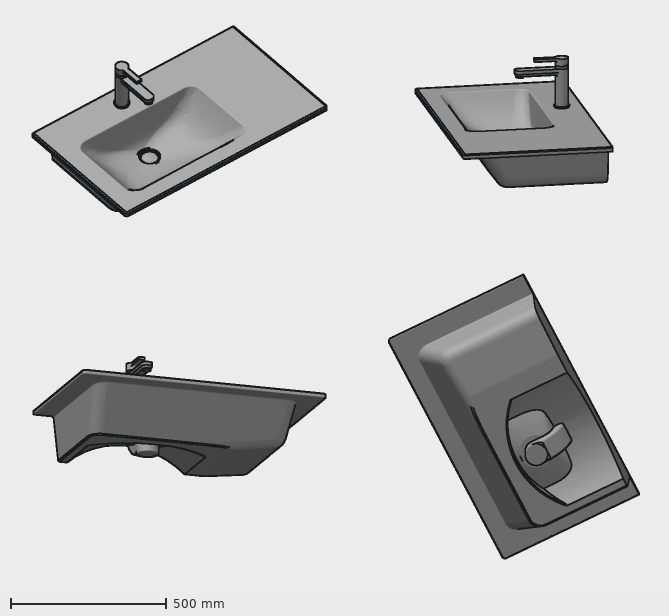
import cadquery as cq
import math


EDGE_MARGIN = 1.0

TOP_DEPTH = 489.5
TOP_LENGTH = 830.0
TOP_THICKNESS = 16.0
TOP_CORNER_RADIUS = 10.0
TOP_BEVEL_WIDTH = 6.0
TOP_BEVEL_HEIGHT = 3.0
TOP_UNDER_ROUND = 2.5

APRON_BOTTOM = -166.0
APRON_FRONT_UPPER = 428.0
APRON_FRONT_LOWER = 333.5
APRON_RIGHT_UPPER = 68.0
APRON_RIGHT_LOWER = 85.0
APRON_LEFT_UPPER = 759.0
APRON_LEFT_LOWER = 744.0
APRON_LEFT_BOTTOM = -144.0
APRON_RISE_START = 584.0
APRON_LEFT_ROUND = 41.5
APRON_CORNER_ROUND = 41.5
APRON_BOTTOM_BEVEL = 4.0
APRON_NECK_ROUND = 5.0

DRAIN_X = 212.5
CENTRE_Y = 315.0

BOWL_BACK = 134.5
BOWL_FRONT = 427.0
BOWL_HALF_LENGTH = 241.5
BOWL_DEPTH = 126.0
BOWL_SECTIONS = [
    (0.0, BOWL_BACK, BOWL_FRONT, BOWL_HALF_LENGTH, 37.0),
    (37.0, 139.0, 397.0, 212.5, 41.5),
    (69.0, 143.5, 372.0, 181.0, 50.0),
    (98.0, 149.0, 325.0, 137.0, 54.0),
    (BOWL_DEPTH, 173.0, 252.0, 40.0, 37.0),
]
BOWL_RIM_ROUND = 4.0
BOWL_WALL = 14.0

DRAIN_RADIUS = 32.0
DRAIN_RECESS_DEPTH = 10.0
DRAIN_FLOOR = -BOWL_DEPTH - DRAIN_RECESS_DEPTH
DRAIN_LIP = 2.5
OUTLET_RADIUS = 36.5
OUTLET_BOTTOM = -177.5
OUTLET_ROUND = 2.5

ARCH_TOP = -90.0
ARCH_HALF_WIDTH = 201.0
RECESS_DEPTH = 282.0
RECESS_SIDE_DEPTH = 199.0

CHANNEL_BACK = 99.5
CHANNEL_MID_X = 126.0
CHANNEL_MID_Z = -143.0
CHANNEL_END_Z = -174.0
CHANNEL_ROUND = 10.0

PLUG_RADIUS = 29.0
PLUG_EDGE_HEIGHT = 5.0
PLUG_DOME_HEIGHT = 5.0

TAP_X = 68.0
TAP_RADIUS = 21.5
FLANGE_RADIUS = 26.0
FLANGE_HEIGHT = 6.0
FLANGE_FOOT_RADIUS = 23.0
TAP_HEIGHT = 165.0
SEAM_BOTTOM = 131.0
SEAM_TOP = 140.0
SEAM_RADIUS = 21.0
TILT_GAP_HEIGHT = 5.0
SCREW_HEIGHT = 148.0
SCREW_RADIUS = 2.5
SCREW_DEPTH = 2.5

SPOUT_END = 222.0
SPOUT_WIDTH = 35.0
SPOUT_TOP = SEAM_BOTTOM
SPOUT_SIDE_BOTTOM = 119.5
SPOUT_BOTTOM = 110.0
SPOUT_END_ROUND = 16.0
SPOUT_UNDER_BEVEL = 4.0
SPOUT_ROOT_ROUND = 5.0
AERATOR_X = 207.0
AERATOR_RADIUS = 12.5
AERATOR_DROP = 4.0
AERATOR_TILT = -6.0

LEVER_END = 158.0
LEVER_WIDTH = 20.0
LEVER_THICKNESS = 9.0
LEVER_ROOT_ROUND = 4.0


def edges_in_box(solid, low, high):
    """Edges of the solid whose centres lie between two opposite corners of a box."""
    return solid.edges(cq.selectors.BoxSelector(low, high))


def countertop():
    """Slab bevelled and rounded on three sides; the side along the wall is a plain cut."""
    length_behind_wall = TOP_THICKNESS
    side_height = TOP_THICKNESS - TOP_BEVEL_HEIGHT
    bevel_angle = math.degrees(math.atan2(TOP_BEVEL_WIDTH, TOP_BEVEL_HEIGHT))
    slab = (
        cq.Workplane("XY", origin=(-length_behind_wall, 0, -TOP_THICKNESS))
        .rect(TOP_DEPTH + length_behind_wall, TOP_LENGTH, centered=False)
        .extrude(side_height)
        .edges("|Z")
        .fillet(TOP_CORNER_RADIUS)
    )
    bevel = slab.faces(">Z").wires().toPending().workplane().extrude(
        TOP_BEVEL_HEIGHT, combine=False, taper=bevel_angle
    )
    slab = slab.union(bevel).faces("<Z").edges().fillet(TOP_UNDER_ROUND)
    behind_wall = (
        cq.Workplane("XY", origin=(-length_behind_wall, 0, -TOP_THICKNESS))
        .rect(length_behind_wall, TOP_LENGTH, centered=False)
        .extrude(TOP_THICKNESS)
    )
    return slab.cut(behind_wall)


def apron():
    lower_left_corner = (TOP_DEPTH / 2, APRON_LEFT_LOWER, APRON_LEFT_BOTTOM)
    end_profile = (
        cq.Workplane("YZ")
        .moveTo(APRON_RIGHT_UPPER, -TOP_THICKNESS)
        .lineTo(APRON_RIGHT_LOWER, APRON_BOTTOM)
        .lineTo(APRON_RISE_START, APRON_BOTTOM)
        .lineTo(APRON_LEFT_LOWER, APRON_LEFT_BOTTOM)
        .lineTo(APRON_LEFT_UPPER, -TOP_THICKNESS)
        .close()
        .extrude(TOP_DEPTH)
        .edges(cq.selectors.NearestToPointSelector(lower_left_corner))
        .fillet(APRON_LEFT_ROUND)
    )
    side_profile = (
        cq.Workplane("XZ")
        .moveTo(0, -TOP_THICKNESS)
        .lineTo(0, APRON_BOTTOM)
        .lineTo(APRON_FRONT_LOWER, APRON_BOTTOM)
        .lineTo(APRON_FRONT_UPPER, -TOP_THICKNESS)
        .close()
        .extrude(-TOP_LENGTH)
    )
    block = end_profile.intersect(side_profile)
    front_corners = block.faces(">X").edges("not #Z").edges("not |Y")
    block = front_corners.fillet(APRON_CORNER_ROUND)
    return block.faces("<Z").edges("not <X").chamfer(APRON_BOTTOM_BEVEL)


def top_with_apron():
    block = apron().union(countertop())
    neck = edges_in_box(
        block,
        (EDGE_MARGIN, APRON_RIGHT_UPPER - EDGE_MARGIN, -TOP_THICKNESS - EDGE_MARGIN),
        (APRON_FRONT_UPPER + EDGE_MARGIN, APRON_LEFT_UPPER + EDGE_MARGIN, -TOP_THICKNESS + EDGE_MARGIN),
    )
    return neck.fillet(APRON_NECK_ROUND)


def bowl(growth):
    """Bowl-shaped solid, grown by the given amount at its sides and bottom."""
    sections = []
    for depth, back, front, half_length, radius in BOWL_SECTIONS:
        z = -depth - growth * depth / BOWL_DEPTH
        outline = (
            cq.Sketch()
            .rect(front - back + 2 * growth, 2 * (half_length + growth))
            .vertices()
            .fillet(radius + growth)
        )
        sections.append(outline.moved(cq.Location(cq.Vector((back + front) / 2, CENTRE_Y, z))))
    return cq.Workplane("XY").placeSketch(*sections).loft()


def arch_recess():
    """Arched tunnel from the wall face, ending in a wall that bows toward the front."""
    arch = (
        cq.Workplane("YZ")
        .moveTo(CENTRE_Y - ARCH_HALF_WIDTH, APRON_BOTTOM)
        .threePointArc((CENTRE_Y, ARCH_TOP), (CENTRE_Y + ARCH_HALF_WIDTH, APRON_BOTTOM))
        .close()
        .extrude(RECESS_DEPTH)
    )
    plan = (
        cq.Workplane("XY", origin=(0, 0, APRON_BOTTOM))
        .moveTo(0, CENTRE_Y - ARCH_HALF_WIDTH)
        .lineTo(RECESS_SIDE_DEPTH, CENTRE_Y - ARCH_HALF_WIDTH)
        .threePointArc((RECESS_DEPTH, CENTRE_Y), (RECESS_SIDE_DEPTH, CENTRE_Y + ARCH_HALF_WIDTH))
        .lineTo(0, CENTRE_Y + ARCH_HALF_WIDTH)
        .close()
        .extrude(ARCH_TOP - APRON_BOTTOM)
    )
    return arch.intersect(plan)


def outlet():
    """Drain boss with the overflow channel that curves down into it."""
    height = -BOWL_DEPTH - OUTLET_BOTTOM
    boss = (
        cq.Workplane("XY", origin=(DRAIN_X, CENTRE_Y, OUTLET_BOTTOM))
        .circle(OUTLET_RADIUS)
        .extrude(height)
        .faces("<Z")
        .edges()
        .fillet(OUTLET_ROUND)
    )
    channel = (
        cq.Workplane("XZ", origin=(0, CENTRE_Y - OUTLET_RADIUS, 0))
        .moveTo(CHANNEL_BACK, ARCH_TOP)
        .threePointArc((CHANNEL_MID_X, CHANNEL_MID_Z), (DRAIN_X - OUTLET_RADIUS, CHANNEL_END_Z))
        .lineTo(DRAIN_X, CHANNEL_END_Z)
        .lineTo(DRAIN_X, ARCH_TOP)
        .close()
        .extrude(-2 * OUTLET_RADIUS)
    )
    channel = channel.faces("<X").edges("not |Y").fillet(CHANNEL_ROUND)
    return boss.union(channel)


def drain_recess():
    """Round recess for the plug, with a countersunk lip on the bowl floor."""
    recess = cq.Workplane("XY", origin=(DRAIN_X, CENTRE_Y, DRAIN_FLOOR)).circle(DRAIN_RADIUS)
    recess = recess.extrude(DRAIN_RECESS_DEPTH)
    lip = (
        cq.Workplane("XZ", origin=(DRAIN_X, CENTRE_Y, -BOWL_DEPTH))
        .moveTo(0, -DRAIN_LIP)
        .lineTo(DRAIN_RADIUS, -DRAIN_LIP)
        .lineTo(DRAIN_RADIUS + 2 * DRAIN_LIP, DRAIN_LIP)
        .lineTo(0, DRAIN_LIP)
        .close()
        .revolve()
    )
    return recess.union(lip)


def make_basin():
    hollow = arch_recess().cut(bowl(BOWL_WALL))
    basin = top_with_apron().cut(hollow)
    basin = basin.faces("<Z").edges("%CIRCLE").chamfer(APRON_BOTTOM_BEVEL)
    basin = basin.union(outlet()).cut(bowl(0))
    rim = edges_in_box(
        basin,
        (BOWL_BACK - EDGE_MARGIN, CENTRE_Y - BOWL_HALF_LENGTH - EDGE_MARGIN, -EDGE_MARGIN),
        (BOWL_FRONT + EDGE_MARGIN, CENTRE_Y + BOWL_HALF_LENGTH + EDGE_MARGIN, EDGE_MARGIN),
    )
    return rim.fillet(BOWL_RIM_ROUND).cut(drain_recess())


def make_plug():
    return (
        cq.Workplane("XZ", origin=(DRAIN_X, CENTRE_Y, DRAIN_FLOOR))
        .lineTo(PLUG_RADIUS, 0)
        .lineTo(PLUG_RADIUS, PLUG_EDGE_HEIGHT)
        .spline([(0, PLUG_EDGE_HEIGHT + PLUG_DOME_HEIGHT)], tangents=[(-1, 0.4), (-1, 0)], includeCurrent=True)
        .close()
        .revolve()
    )


def tap_column():
    """Flange, column and handle turned as one, with a shallow seam groove below the handle."""
    flange = cq.Workplane(cq.Solid.makeCone(FLANGE_FOOT_RADIUS, FLANGE_RADIUS, FLANGE_HEIGHT))
    column = cq.Workplane("XY").circle(TAP_RADIUS).extrude(TAP_HEIGHT)
    groove = (
        cq.Workplane("XY", origin=(0, 0, SEAM_BOTTOM))
        .circle(FLANGE_RADIUS)
        .circle(SEAM_RADIUS)
        .extrude(SEAM_TOP - SEAM_BOTTOM)
    )
    tilt_gap = (
        cq.Workplane("XZ", origin=(0, -FLANGE_RADIUS, 0))
        .moveTo(0, SEAM_TOP)
        .lineTo(-FLANGE_RADIUS, SEAM_TOP)
        .lineTo(-FLANGE_RADIUS, SEAM_TOP + TILT_GAP_HEIGHT)
        .close()
        .extrude(-2 * FLANGE_RADIUS)
    )
    screw_hole = (
        cq.Workplane("YZ", origin=(-TAP_RADIUS, 0, SCREW_HEIGHT))
        .circle(SCREW_RADIUS)
        .extrude(SCREW_DEPTH)
    )
    return column.cut(groove).cut(tilt_gap).cut(screw_hole).union(flange)


def spout():
    reach = SPOUT_END - TAP_X
    depth = SPOUT_SIDE_BOTTOM - SPOUT_BOTTOM
    under_angle = math.degrees(math.atan2(SPOUT_UNDER_BEVEL, depth))
    upper = (
        cq.Workplane("XY", origin=(reach / 2, 0, SPOUT_SIDE_BOTTOM))
        .rect(reach, SPOUT_WIDTH)
        .extrude(SPOUT_TOP - SPOUT_SIDE_BOTTOM)
        .edges("|Z and >X")
        .fillet(SPOUT_END_ROUND)
    )
    under = upper.faces("<Z").wires().toPending().workplane().extrude(
        depth, combine=False, taper=under_angle
    )
    aerator = (
        cq.Workplane("XY")
        .circle(AERATOR_RADIUS)
        .extrude(2 * AERATOR_DROP)
        .rotate((0, 0, 0), (0, 1, 0), AERATOR_TILT)
        .translate((AERATOR_X - TAP_X, 0, SPOUT_BOTTOM - AERATOR_DROP))
    )
    return upper.union(under).union(aerator)


def lever():
    reach = LEVER_END - TAP_X
    return (
        cq.Workplane("XY", origin=(reach / 2, 0, TAP_HEIGHT - LEVER_THICKNESS))
        .rect(reach, LEVER_WIDTH)
        .extrude(LEVER_THICKNESS)
    )


def root_edges(solid, arm_width, bottom, top):
    """Edges where an arm spanning the given heights leaves the front of the column."""
    half = arm_width / 2
    front = TAP_RADIUS + EDGE_MARGIN
    inner = TAP_RADIUS / 2
    return edges_in_box(solid, (inner, -half, bottom - EDGE_MARGIN), (front, half, top - EDGE_MARGIN))


def make_tap():
    tap = tap_column().union(spout())
    tap = root_edges(tap, SPOUT_WIDTH + EDGE_MARGIN, SPOUT_BOTTOM, SPOUT_TOP).fillet(SPOUT_ROOT_ROUND)
    tap = tap.union(lever())
    lever_bottom = TAP_HEIGHT - LEVER_THICKNESS
    tap = root_edges(tap, LEVER_WIDTH + EDGE_MARGIN, lever_bottom, TAP_HEIGHT).fillet(LEVER_ROOT_ROUND)
    return tap.translate((TAP_X, CENTRE_Y, 0))


basin = make_basin()
plug = make_plug()
tap = make_tap()

result = cq.Compound.makeCompound([basin.solids().val(), plug.val(), tap.solids().val()])